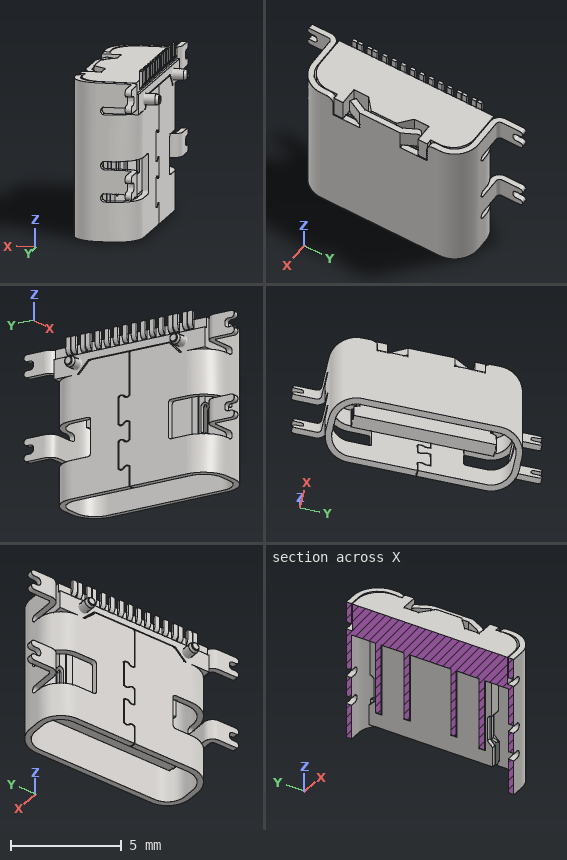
import cadquery as cq
import math


overlap = 0.12

shell_depth = 3.17
shell_width = 8.93
shell_height = 7.3
shell_radius = 1.29
sheet = 0.3
inner_half_width = shell_width / 2 - sheet
inner_face = shell_depth - sheet
inner_radius = shell_radius - sheet
mid_plane = shell_depth / 2

board_plane = -0.03
leg_span = 11.54
leg_height = 1.11
foot_thick = 0.29
leg_bend_inner = 0.18
leg_bend_outer = leg_bend_inner + sheet
fork_depth = 0.52
fork_gap = 0.42
fork_radius = 0.17
leg_root = 1.68
upper_leg_bottom = shell_height - leg_height
lower_leg_bottom = 2.22
lower_leg_top = lower_leg_bottom + leg_height
upper_slot_height = 0.35
lower_slot_height = 0.38
shell_front_top = upper_leg_bottom - upper_slot_height
opening_depth = leg_root - upper_slot_height
window_bottom = lower_leg_bottom - lower_slot_height
window_top = lower_leg_top + lower_slot_height
window_inner_y = 2.13
window_radius = 0.15

flap_top = 6.4
flap_half_base = 2.75
flap_end_gap = 0.03
flap_side_gap = 0.09
seam_gap = 0.03
seam_shift = 0.6
seam_swing = 0.07
seam_levels = [4.34, 3.06, 2.23, 0.95]

notch_half_width = 2.5
notch_depth = 1.11
notch_radius = 0.37
spring_root_y = 1.08
spring_length = 0.93
spring_angle = 27.0
spring_height = 0.83
spring_drop = 0.09
spring_corner = 0.17

housing_bottom = 5.6
housing_radius = 1.15
housing_gap = 0.02
step_height = 6.8
step_face = 0.12
stop_face = 3.13
stop_inner_y = 2.01
pocket_face = 2.22
pocket_flat_y = 1.22
pocket_end_y = 0.66
pocket_bottom = shell_height - notch_depth
groove_face = 2.76
groove_depth = 0.12

post_y = 2.88
post_z = 6.34
post_diameter = 0.52
post_root_round = 0.05
post_shoulder = -0.52
post_tip = -0.7
post_tip_diameter = 0.42
post_tip_round = 0.03

terminal_width = 0.25
terminal_top = 7.72
terminal_bend_top = 7.18
terminal_bend_bottom = 6.89
terminal_pitch = 0.5
terminal_split = 0.03
pair_centers = [2.4, 3.2]

blade_bottom = 1.05
blade_thick = 0.58
blade_half_tip = 3.29
blade_half_neck = 3.01
blade_shoulder = 2.1
plate_thick = 0.16
plate_half_tip = 3.35
plate_half_neck = 3.1
plate_shoulder = 2.27
neck_bottom = 2.38
neck_top = 3.75
neck_flare = 0.23
ground_pad_y = 2.75
ground_pad_bottom = 1.81
power_pad_y = 1.25
power_pad_bottom = 2.01
pad_width = 0.31
pad_raise = 0.08
pad_bevel = 0.07


def block(x0, x1, y0, y1, z0, z1):
    """Box between two opposite corners."""
    return cq.Workplane("XY").box(x1 - x0, y1 - y0, z1 - z0, centered=False).translate((x0, y0, z0))


def both_sides(body):
    """The body together with its mirror image across the Y = 0 plane."""
    return body.union(body.mirror("XZ"))


def round_tube(depth, width, radius, height):
    """Rounded rectangle centred on the shell axis, extruded up from Z = 0."""
    return (
        cq.Workplane("XY")
        .center(mid_plane, 0)
        .rect(depth, width)
        .extrude(height)
        .edges("|Z")
        .fillet(radius)
    )


def flap(side_gap, end_gap):
    """Trapezoid at the top of the board-side wall, widened and raised by clearances."""
    half_base = flap_half_base + side_gap
    top = flap_top + end_gap
    half_top = half_base - (top - shell_front_top)
    return (
        cq.Workplane("YZ")
        .polyline([
            (-half_base, shell_front_top),
            (half_base, shell_front_top),
            (half_top, top),
            (-half_top, top),
        ])
        .close()
        .extrude(sheet)
    )


def relief_slot(z0, z1):
    """Round-ended slot through the side wall, open towards the board."""
    radius = (z1 - z0) / 2
    inside = inner_half_width - overlap
    straight = block(board_plane - overlap, leg_root - radius, inside, leg_span / 2, z0, z1)
    end = (
        cq.Workplane("XZ")
        .center(leg_root - radius, (z0 + z1) / 2)
        .circle(radius)
        .extrude(-leg_span / 2)
        .intersect(block(0, shell_depth, inside, leg_span / 2, z0, z1))
    )
    return straight.union(end)


def side_openings():
    """Material removed around the legs: two slotted windows and the rear corner."""
    window = (
        block(-overlap, opening_depth, window_inner_y, leg_span / 2, window_bottom, window_top)
        .edges("|X and <Y")
        .fillet(window_radius)
    )
    rear = block(-overlap, opening_depth, 0, leg_span / 2, shell_front_top, shell_height)
    opening = window.union(rear)
    for z0, z1 in [
        (window_bottom, lower_leg_bottom),
        (lower_leg_top, window_top),
        (shell_front_top, upper_leg_bottom),
    ]:
        opening = opening.union(relief_slot(z0, z1))
    return both_sides(opening)


def seam():
    """Thin interlocking joint line down the board-side wall."""
    half = seam_shift / 2
    path = cq.Workplane("YZ").moveTo(0, flap_top + overlap)
    side = 0
    for level in seam_levels:
        far = seam_shift - side
        path = (
            path.lineTo(side, level)
            .threePointArc(((side + half) / 2, level - seam_swing), (half, level))
            .threePointArc(((far + half) / 2, level + seam_swing), (far, level))
        )
        side = far
    return path.lineTo(side, -overlap).offset2D(seam_gap / 2).extrude(sheet)


def leg(bottom):
    """Z-bent solder leg with a forked, rounded end."""
    outer_y = shell_width / 2
    prong_round = (leg_height - fork_gap) / 4
    tip_y = leg_span / 2 - prong_round
    back = board_plane + foot_thick
    strip = (
        cq.Workplane("XY", origin=(0, 0, bottom))
        .moveTo(leg_root, outer_y)
        .lineTo(back + leg_bend_inner, outer_y)
        .radiusArc((back, outer_y + leg_bend_inner), leg_bend_inner)
        .lineTo(back, tip_y)
        .lineTo(board_plane, tip_y)
        .lineTo(board_plane, inner_half_width + leg_bend_outer)
        .radiusArc((board_plane + leg_bend_outer, inner_half_width), -leg_bend_outer)
        .lineTo(leg_root, inner_half_width)
        .close()
        .extrude(leg_height)
    )
    fork_floor = leg_span / 2 - fork_depth
    middle = bottom + leg_height / 2
    fork = (
        block(board_plane, back, fork_floor, tip_y, middle - fork_gap / 2, middle + fork_gap / 2)
        .edges("|X and <Y")
        .fillet(fork_radius)
    )
    strip = strip.cut(fork)
    for side in (-1, 1):
        prong_z = middle + side * (fork_gap / 2 + prong_round)
        prong_end = (
            cq.Workplane("YZ", origin=(board_plane, tip_y, prong_z)).circle(prong_round).extrude(foot_thick)
        )
        strip = strip.union(prong_end)
    return strip


def spring():
    """Finger bent inwards from the middle of the far wall, with its rear corner rounded."""
    top = shell_height - spring_drop
    bottom = top - spring_height
    finger = (
        block(-sheet, 0, 0, spring_length, 0, spring_height)
        .edges("|X and >Y and >Z")
        .fillet(spring_corner)
        .rotate((0, 0, 0), (0, 0, 1), spring_angle)
        .translate((shell_depth, spring_root_y, bottom))
    )
    root = block(inner_face, shell_depth, 0, spring_root_y, bottom, top)
    return both_sides(root.union(finger))


def shell():
    """Folded sheet-metal shell with its legs and springs."""
    tube = round_tube(shell_depth, shell_width, shell_radius, shell_height)
    tube = tube.cut(round_tube(shell_depth - 2 * sheet, 2 * inner_half_width, inner_radius, shell_height))
    tube = tube.cut(side_openings()).union(flap(0, 0)).cut(seam())
    notch = block(
        inner_face - overlap, shell_depth, -notch_half_width, notch_half_width,
        pocket_bottom, shell_height,
    )
    tube = tube.cut(notch)
    tube = tube.edges(
        cq.selectors.BoxSelector(
            (inner_face - overlap, -notch_half_width - overlap, shell_height - overlap),
            (shell_depth + overlap, notch_half_width + overlap, shell_height + overlap),
        )
    ).edges("|X").fillet(notch_radius)
    tube = tube.union(block(
        inner_face, shell_depth, -spring_root_y, spring_root_y,
        pocket_bottom, shell_height - spring_drop,
    ))
    tube = tube.union(spring())
    for bottom in (lower_leg_bottom, upper_leg_bottom):
        tube = tube.union(both_sides(leg(bottom)))
    return tube


def spring_pocket():
    """Rear pocket that gives one spring finger room to flex, with a deeper groove along the wall."""
    pocket = (
        cq.Workplane("XY", origin=(0, 0, pocket_bottom))
        .polyline([
            (inner_face, pocket_end_y),
            (pocket_face, pocket_flat_y),
            (pocket_face, stop_inner_y),
            (inner_face, stop_inner_y),
        ])
        .close()
        .extrude(notch_depth)
    )
    groove = block(
        groove_face, inner_face, pocket_end_y, stop_inner_y,
        pocket_bottom - groove_depth, pocket_bottom,
    )
    return pocket.union(groove)


def housing():
    """Plastic body that closes the rear of the shell."""
    half = inner_half_width - housing_gap
    rear = block(0, inner_face - housing_gap, -half, half, shell_front_top, shell_height)
    front = block(sheet, inner_face, -inner_half_width, inner_half_width, housing_bottom, shell_front_top)
    front = front.edges("|Z and <X").fillet(inner_radius)
    rear = rear.edges("|Z and >X").fillet(housing_radius)
    front = front.edges("|Z and >X").fillet(housing_radius)
    body = front.union(rear)
    body = body.cut(block(0, step_face, -shell_width, shell_width, step_height, shell_height))
    body = body.cut(flap(flap_side_gap, flap_end_gap))
    stop = block(pocket_face, stop_face, stop_inner_y, notch_half_width, pocket_bottom, shell_height)
    return body.union(both_sides(stop)).cut(both_sides(spring_pocket()))


def post():
    """Tapered locating post pointing towards the board."""
    radius = post_diameter / 2
    tip_radius = post_tip_diameter / 2
    profile = (
        cq.Workplane("XY")
        .moveTo(step_face, 0)
        .lineTo(step_face, radius + post_root_round)
        .lineTo(0, radius + post_root_round)
        .radiusArc((-post_root_round, radius), post_root_round)
        .lineTo(post_shoulder, radius)
        .lineTo(post_tip + post_tip_round, tip_radius)
        .lineTo(post_tip, tip_radius - post_tip_round)
        .lineTo(post_tip, 0)
        .close()
    )
    return profile.revolve(360, (0, 0, 0), (1, 0, 0)).translate((0, post_y, post_z))


def terminal(center_y):
    """Solder tail that curves out of the housing step and runs up past its top."""
    drop = step_face - board_plane
    rise = terminal_bend_top - terminal_bend_bottom
    bend_radius = (rise ** 2 + drop ** 2) / (2 * drop)
    return (
        cq.Workplane("XZ", origin=(0, center_y + terminal_width / 2, 0))
        .moveTo(step_face, terminal_top)
        .lineTo(board_plane, terminal_top)
        .lineTo(board_plane, terminal_bend_top)
        .radiusArc((step_face, terminal_bend_bottom), -bend_radius)
        .close()
        .extrude(terminal_width)
    )


def terminals():
    """Row of eight single tails, with two split pairs beyond them on each side."""
    centers = [terminal_pitch * (index + 0.5) for index in range(4)]
    offset = (terminal_width + terminal_split) / 2
    for center in pair_centers:
        centers += [center - offset, center + offset]
    row = terminal(centers[0])
    for center in centers[1:]:
        row = row.union(terminal(center))
    return both_sides(row)


def stepped_blade(thick, half_tip, half_neck, shoulder):
    """Flat blade on the mid plane that narrows above its shoulder."""
    return both_sides(
        cq.Workplane("YZ", origin=(mid_plane - thick / 2, 0, 0))
        .polyline([
            (0, blade_bottom),
            (half_tip, blade_bottom),
            (half_tip, shoulder),
            (half_neck, neck_bottom),
            (half_neck, housing_bottom + overlap),
            (0, housing_bottom + overlap),
        ])
        .close()
        .extrude(thick)
    )


def blade_root():
    """Wider plastic root of the tongue, flaring out of the neck with a concave curve."""
    half_root = blade_half_neck + neck_flare
    return both_sides(
        cq.Workplane("YZ", origin=(mid_plane - blade_thick / 2, 0, 0))
        .moveTo(0, neck_top - neck_flare)
        .lineTo(blade_half_neck, neck_top - neck_flare)
        .radiusArc((half_root, neck_top), neck_flare)
        .lineTo(half_root, housing_bottom + overlap)
        .lineTo(0, housing_bottom + overlap)
        .close()
        .extrude(blade_thick)
    )


def contact_pad(center_y, bottom):
    """Raised strip on the board-side face of the tongue, bevelled at its free end."""
    surface = mid_plane - blade_thick / 2
    return (
        block(
            surface - pad_raise, surface + pad_raise,
            center_y - pad_width / 2, center_y + pad_width / 2,
            bottom, housing_bottom + overlap,
        )
        .edges("<X and <Z")
        .chamfer(pad_bevel)
    )


def mating_tongue():
    """Plastic blade around a metal plate, with raised ground and power pads."""
    blade = stepped_blade(blade_thick, blade_half_tip, blade_half_neck, blade_shoulder)
    plate = stepped_blade(plate_thick, plate_half_tip, plate_half_neck, plate_shoulder)
    ground_pad = contact_pad(ground_pad_y, ground_pad_bottom)
    power_pad = contact_pad(power_pad_y, power_pad_bottom)
    pads = both_sides(ground_pad.union(power_pad))
    return blade.union(plate).union(blade_root()).union(pads)


result = (
    housing()
    .union(shell())
    .union(both_sides(post()))
    .union(terminals())
    .union(mating_tongue())
)